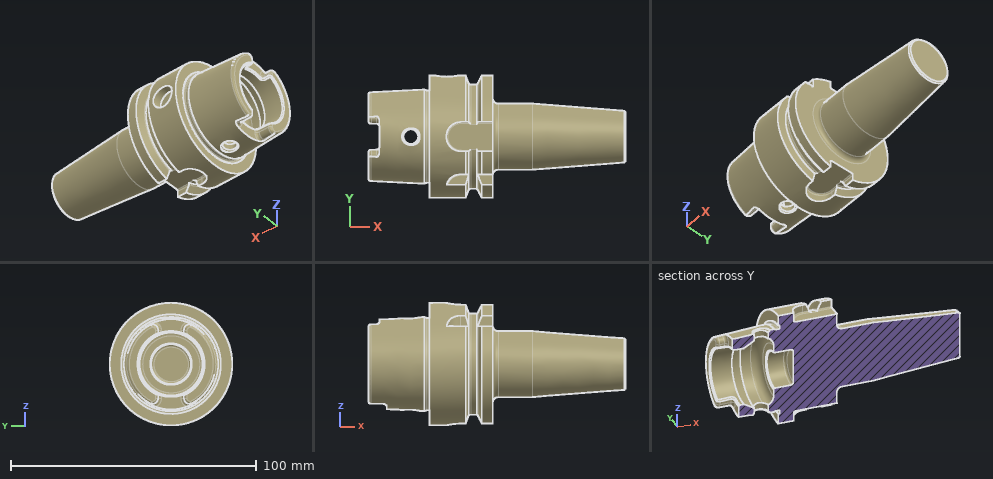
import cadquery as cq
import math

total_length = 104.9

shank_end_radius = 18.1
shank_root_radius = 19.25
shank_edge_fillet = 1.0
taper_end_x = 22.9
relief_start_x = 23.9
relief_radius = 18.9
relief_fillet = 1.0
relief_fillet_length = 0.4
relief_fillet_height = 0.1

flange_radius = 25.02
flange_face_x = 24.9
flange_end_x = 50.8
recess_depth = 0.6
recess_radius = 20.4
recess_fillet = 0.4
groove_radius = 21.3
groove_start_x = 39.7
groove_floor_start_x = 41.8
groove_floor_end_x = 44.2
groove_end_x = 46.3
groove_fillet = 0.9
groove_fillet_height = 0.5
groove_near_fillet_length = 0.8
groove_far_fillet_length = 0.4

nose_radius = 13.5
nose_fillet = 2.1
nose_taper_x = 66.8
nose_tip_radius = 10.6
nose_tip_chamfer = 0.6

bore_mouth_radius = 13.2
bore_mouth_chamfer = 0.5
bore_lip_x = 9.7
bore_lip_radius = 12.8
chamber_radius = 15.5
chamber_cone_angle = 30
chamber_floor_x = 22.8
chamber_floor_fillet = 3.9
pilot_radius = 8.1
pilot_chamfer = 0.4
pilot_floor_fillet = 1.0
pilot_floor_x = 31.5

cross_hole_x = 17.3
cross_hole_radius = 2.99
cross_hole_chamfer = 0.7
cross_hole_rim_z = 18.9

keyway_half_width = 5.2
keyway_top_depth = 4.5
keyway_bottom_depth = 7.5
keyway_floor_fillet = 1.3
keyway_mouth_fillet = 1.2
tooth_round_radius = 2.4
tooth_round_z = 13.8

slot_half_width = 6.0
slot_end_x = 31.8
slot_floor_z = 20.7
slot_floor_fillet = 0.5
notch_floor_z = 15.4
notch_wall_y = -15.4
notch_cutter_radius = 5.8
notch_cutter_x = 37.5
notch_floor_fillet = 0.3
chip_hole_x = 32.0
chip_hole_radius = 5.0
chip_hole_depth = 4.6

overshoot = 1.0


def revolve_about_x(profile):
    return profile.close().revolve(360, (0, 0, 0), (1, 0, 0))


def turned_body():
    """Shank, flange and nose as one turned solid."""
    recess_floor_x = flange_face_x + recess_depth
    groove_fillet_r = groove_radius + groove_fillet_height
    return revolve_about_x(
        cq.Workplane("XY")
        .lineTo(0, shank_end_radius - shank_edge_fillet)
        .radiusArc((shank_edge_fillet, shank_end_radius), shank_edge_fillet)
        .lineTo(taper_end_x, shank_root_radius)
        .lineTo(relief_start_x - relief_fillet_length, relief_radius + relief_fillet_height)
        .radiusArc((relief_start_x, relief_radius), -relief_fillet)
        .lineTo(recess_floor_x - recess_fillet, relief_radius)
        .radiusArc((recess_floor_x, relief_radius + recess_fillet), -recess_fillet)
        .lineTo(recess_floor_x, recess_radius - recess_fillet)
        .radiusArc((recess_floor_x - recess_fillet, recess_radius), -recess_fillet)
        .lineTo(flange_face_x, recess_radius)
        .lineTo(flange_face_x, flange_radius)
        .lineTo(groove_start_x, flange_radius)
        .lineTo(groove_floor_start_x - groove_near_fillet_length, groove_fillet_r)
        .radiusArc((groove_floor_start_x, groove_radius), -groove_fillet)
        .lineTo(groove_floor_end_x, groove_radius)
        .radiusArc((groove_floor_end_x + groove_far_fillet_length, groove_fillet_r), -groove_fillet)
        .lineTo(groove_end_x, flange_radius)
        .lineTo(flange_end_x, flange_radius)
        .lineTo(flange_end_x, nose_radius + nose_fillet)
        .radiusArc((flange_end_x + nose_fillet, nose_radius), -nose_fillet)
        .lineTo(nose_taper_x, nose_radius)
        .lineTo(total_length - nose_tip_chamfer, nose_tip_radius)
        .lineTo(total_length, nose_tip_radius - nose_tip_chamfer)
        .lineTo(total_length, 0)
    )


def bore():
    """Slightly tapered mouth, wider clamping chamber behind a lip, and blind pilot bore."""
    cone_length = (chamber_radius - bore_lip_radius) / math.tan(math.radians(chamber_cone_angle))
    chamber_floor_radius = chamber_radius - chamber_floor_fillet
    pilot_floor_radius = pilot_radius - pilot_floor_fillet
    return revolve_about_x(
        cq.Workplane("XY")
        .lineTo(0, bore_mouth_radius)
        .lineTo(bore_lip_x, bore_lip_radius)
        .lineTo(bore_lip_x + cone_length, chamber_radius)
        .lineTo(chamber_floor_x - chamber_floor_fillet, chamber_radius)
        .radiusArc((chamber_floor_x, chamber_floor_radius), chamber_floor_fillet)
        .lineTo(chamber_floor_x, pilot_radius + pilot_chamfer)
        .lineTo(chamber_floor_x + pilot_chamfer, pilot_radius)
        .lineTo(pilot_floor_x - pilot_floor_fillet, pilot_radius)
        .radiusArc((pilot_floor_x, pilot_floor_radius), pilot_floor_fillet)
        .lineTo(pilot_floor_x, 0)
    )


def keyway(depth):
    """Cutter across the shank end, leaving tooth corners that round over into the taper."""
    tooth_half_gap = keyway_half_width + tooth_round_radius
    tooth_top_z = tooth_round_z + tooth_round_radius
    cutter = (
        cq.Workplane("YZ")
        .moveTo(-keyway_half_width, pilot_radius)
        .lineTo(-keyway_half_width, tooth_round_z)
        .radiusArc((-tooth_half_gap, tooth_top_z), -tooth_round_radius)
        .lineTo(-shank_end_radius, tooth_top_z)
        .lineTo(-shank_end_radius, flange_radius)
        .lineTo(shank_end_radius, flange_radius)
        .lineTo(shank_end_radius, tooth_top_z)
        .lineTo(tooth_half_gap, tooth_top_z)
        .radiusArc((keyway_half_width, tooth_round_z), -tooth_round_radius)
        .lineTo(keyway_half_width, pilot_radius)
        .close()
        .extrude(depth)
    )
    mouth_slab = (
        cq.Workplane("XY", origin=(-overshoot, 0, pilot_radius))
        .box(overshoot, 2 * flange_radius, flange_radius, centered=(False, True, False))
    )
    cutter = cutter.union(mouth_slab)
    for wall_end_x, radius in ((depth, keyway_floor_fillet), (0, keyway_mouth_fillet)):
        wall_end_edges = cq.selectors.BoxSelector(
            (wall_end_x - 0.1, -shank_end_radius + 0.1, pilot_radius + 0.1),
            (wall_end_x + 0.1, shank_end_radius - 0.1, flange_radius - 0.1),
        )
        cutter = cutter.edges(wall_end_edges).fillet(radius)
    return cutter


def chamfer_bore_mouth(part):
    """Chamfer the bore edge along the end face and down through both keyways."""
    rim = cq.selectors.BoxSelector(
        (-0.1, -bore_mouth_radius - 0.1, -bore_mouth_radius - 0.1),
        (keyway_bottom_depth + 0.1, bore_mouth_radius + 0.1, bore_mouth_radius + 0.1),
        boundingbox=True,
    )
    return part.edges(rim).chamfer(bore_mouth_chamfer)


def cross_hole():
    """Hole along Z through both shank walls, countersunk at each end."""
    rim_radius = cross_hole_radius + cross_hole_chamfer
    neck_z = cross_hole_rim_z - cross_hole_chamfer
    half_profile = (
        cq.Workplane("XZ", origin=(cross_hole_x, 0, 0))
        .moveTo(0, -flange_radius)
        .lineTo(rim_radius, -flange_radius)
        .lineTo(rim_radius, -cross_hole_rim_z)
        .lineTo(cross_hole_radius, -neck_z)
        .lineTo(cross_hole_radius, neck_z)
        .lineTo(rim_radius, cross_hole_rim_z)
        .lineTo(rim_radius, flange_radius)
        .lineTo(0, flange_radius)
        .close()
    )
    return half_profile.revolve(360, (0, 0, 0), (0, 1, 0))


def end_milled_slot(floor_z, start_x, y_low, y_high, floor_fillet):
    """Slot with a half-round end whose centre is at start_x, open towards +X and +Z."""
    open_x = flange_end_x + overshoot
    radius = (y_high - y_low) / 2
    return (
        cq.Workplane("XY", origin=(0, 0, floor_z))
        .moveTo(open_x, y_low)
        .lineTo(start_x, y_low)
        .radiusArc((start_x, y_high), radius)
        .lineTo(open_x, y_high)
        .close()
        .extrude(flange_radius)
        .edges("<Z and (not >X)")
        .fillet(floor_fillet)
    )


def drive_slot():
    return end_milled_slot(
        slot_floor_z, slot_end_x + slot_half_width, -slot_half_width, slot_half_width, slot_floor_fillet
    )


def orientation_notch():
    outer_y = notch_wall_y - 2 * notch_cutter_radius
    return end_milled_slot(notch_floor_z, notch_cutter_x, outer_y, notch_wall_y, notch_floor_fillet)


def chip_hole():
    return (
        cq.Workplane("XZ", origin=(chip_hole_x, flange_radius, 0))
        .circle(chip_hole_radius)
        .extrude(chip_hole_depth)
    )


def to_underside(cutter):
    return cutter.rotate((0, 0, 0), (1, 0, 0), 180)


result = turned_body().cut(bore())
result = result.cut(keyway(keyway_top_depth)).cut(to_underside(keyway(keyway_bottom_depth)))
result = chamfer_bore_mouth(result)
result = result.cut(cross_hole())
result = result.cut(drive_slot()).cut(to_underside(drive_slot()))
result = result.cut(orientation_notch()).cut(chip_hole())